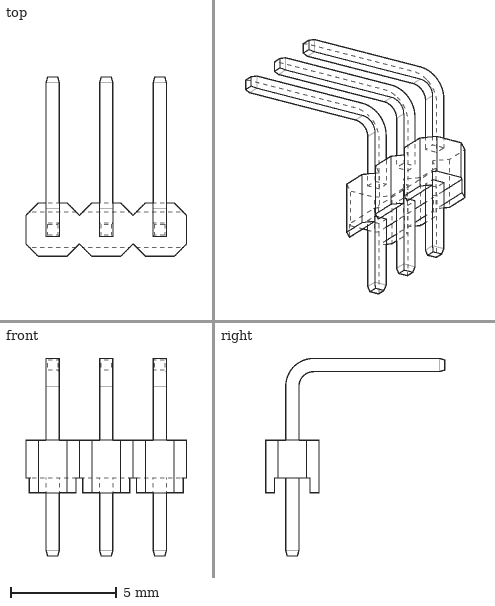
import cadquery as cq

pin_count = 3
row_length = 7.62
pitch = row_length / pin_count
body_depth = 2.54
body_height = 2.5
corner_cut = 0.59
channel_width = 1.67
channel_height = 0.695

total_height = 9.39
total_depth = 8.52
pin_width = 0.64
pin_below_body = 3.005
bend_outer_radius = 1.33
tip_length = 0.27
tip_width = 0.49

pin_bottom = -pin_below_body
pin_axis_top = pin_bottom + total_height - pin_width / 2
pin_end = total_depth - body_depth / 2
bend_radius = bend_outer_radius - pin_width / 2
pin_positions = [(i - (pin_count - 1) / 2) * pitch for i in range(pin_count)]


def make_body():
    """Row of octagonal cells with a channel along the underside."""
    body = cq.Workplane("XY")
    for x in pin_positions:
        cell = (
            cq.Workplane("XY")
            .box(pitch, body_depth, body_height, centered=(True, True, False))
            .edges("|Z")
            .chamfer(corner_cut)
            .translate((x, 0, 0))
        )
        body = body.union(cell)
    channel = cq.Workplane("XY").box(
        row_length, channel_width, channel_height, centered=(True, True, False)
    )
    return body.cut(channel)


def make_tip(base_plane):
    """Square taper standing on the given plane at the end of a pin."""
    return (
        cq.Workplane(base_plane)
        .rect(pin_width, pin_width)
        .workplane(offset=tip_length)
        .rect(tip_width, tip_width)
        .loft(ruled=True)
    )


def make_pin():
    """Bent pin with a tapered tip at both ends."""
    lower_base = pin_bottom + tip_length
    outer_base = pin_end - tip_length
    path = (
        cq.Workplane("YZ")
        .moveTo(0, lower_base)
        .lineTo(0, pin_axis_top - bend_radius)
        .tangentArcPoint((bend_radius, pin_axis_top), relative=False)
        .lineTo(outer_base, pin_axis_top)
    )
    wire = (
        cq.Workplane("XY", origin=(0, 0, lower_base))
        .rect(pin_width, pin_width)
        .sweep(path)
    )
    lower_tip = make_tip(cq.Plane((0, 0, lower_base), (1, 0, 0), (0, 0, -1)))
    outer_tip = make_tip(cq.Plane((0, outer_base, pin_axis_top), (1, 0, 0), (0, 1, 0)))
    return wire.union(lower_tip).union(outer_tip)


result = make_body()
pin = make_pin()
for pin_x in pin_positions:
    result = result.union(pin.translate((pin_x, 0, 0)))